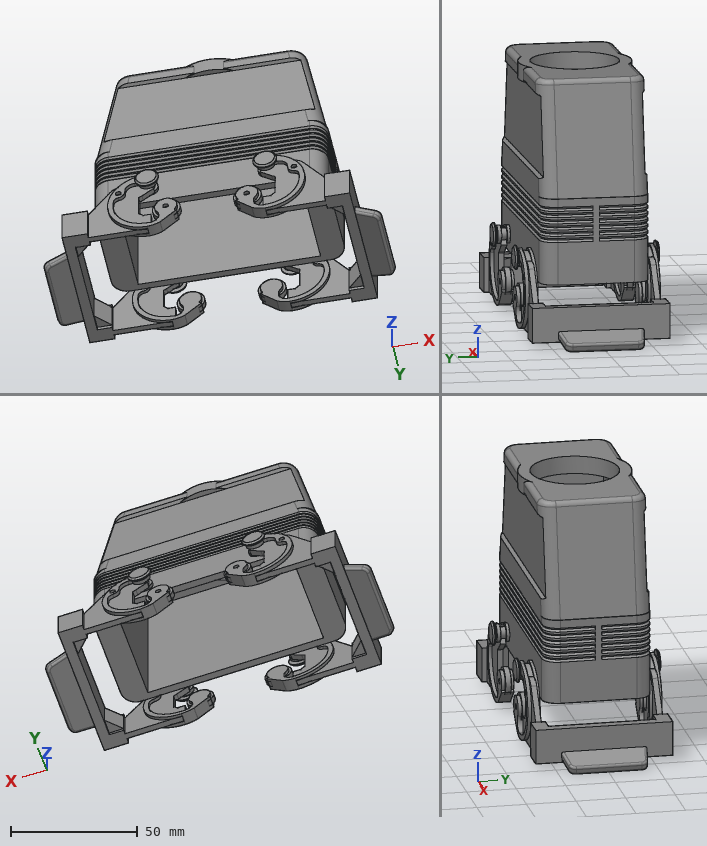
import cadquery as cq
import math

HOOD_HALF_X = 47.0
HOOD_HALF_Y = 21.8
HOOD_HEIGHT = 81.0
CORNER_RADIUS = 6.4
TAPER_START_Z = 34.6
TAPER_LEDGE = 0.4
TOP_HALF_X = 38.2
TOP_FILLET = 2.3
CAVITY_HALF_X = 36.8
CAVITY_HALF_Y = 19.1
ROOF_THICKNESS = 7.2

PANEL_DEPTH = 1.4
PANEL_BOTTOM_Z = 42.8
PANEL_TOP_Z = 74.3
PANEL_BOTTOM_BEVEL = 1.1
PANEL_TOP_BEVEL = 0.7

ENTRY_RADIUS = 17.7
COLLAR_RADIUS = 22.6

GROOVE_COUNT = 6
LOWEST_GROOVE_Z = 18.0
HIGHEST_GROOVE_Z = 30.5
GROOVE_PITCH = (HIGHEST_GROOVE_Z - LOWEST_GROOVE_Z) / (GROOVE_COUNT - 1)
GROOVE_WIDTH = 1.6
GROOVE_DEPTH = 0.8
GROOVE_GAP_Y = 2.6

BAR_OUTER_X = -58.0
BAR_INNER_X = -53.8
BAR_ARM_X = -47.8
BAR_HALF_Y = 27.7
BAR_ARM_INNER_Y = 21.7
BAR_TOP_Z = -6.8
BAR_BOTTOM_Z = -20.9
GUSSET_INSET_Z = 1.5

PLATE_INNER_Y = 23.3
PLATE_OUTER_Y = 25.6
RIB_INNER_Y = 22.1
RIB_OUTER_Y = 27.1
HOOK_X, HOOK_Z = -23.9, -5.3
HOOK_RADIUS = 16.0
RIB_INNER_RADIUS = 13.8
HOOK_PLATE_RADIUS = 15.3
EYE_X, EYE_Z = -16.4, -10.4
EYE_PLATE_RADIUS = 5.6
EYE_RIB_RADIUS = 4.5
RIVET_X, RIVET_Z = -35.5, 1.6
RIVET_LAND_TOP_Z = 6.3
RIVET_LAND_END_ANGLE = 173
OPENING_BACK_X = -27.5
OPENING_LIP_X = -22.6
OPENING_FLOOR_Z = -12.4
OPENING_CHAMFER = 1.8
DIMPLE_RADIUS = 1.1
DIMPLE_DEPTH = 1.4

PIN_X, PIN_Z = -23.9, 7.2
PIN_BOSS_RADIUS = 3.7
PIN_STEM_RADIUS = 2.5
PIN_HEAD_RADIUS = 4.8
PIN_HEAD_INNER_Y = 28.0
PIN_END_Y = 29.0
PIN_HEAD_CHAMFER = 0.7
PIN_ROOT_Y = 20.5

TAB_TILT = 18.5
TAB_THICKNESS = 3.7
TAB_LENGTH = 10.9
TAB_ROOT_OVERLAP = 2.0
TAB_ROOT_HALF_Y = 17.3
TAB_TIP_HALF_Y = 15.5
TAB_ROOT_TOP_Z = -16.5
TAB_CORNER_RADIUS = 2.7
TAB_EDGE_FILLET = 1.0


def z_box(half_x, half_y, bottom, top):
    """Box centred on the Z axis between two heights."""
    return (
        cq.Workplane("XY").workplane(offset=bottom)
        .rect(2 * half_x, 2 * half_y).extrude(top - bottom)
    )


def z_disc(radius, bottom, top):
    """Cylinder on the Z axis between two heights."""
    return cq.Workplane("XY").workplane(offset=bottom).circle(radius).extrude(top - bottom)


def layer(inner_y, outer_y, draw):
    """Slab on the -Y side, from outer_y in to inner_y, with the outline that draw() puts on it."""
    sketch = cq.Workplane("XZ").workplane(offset=inner_y)
    return draw(sketch).extrude(outer_y - inner_y)


def y_disc(x, z, radius, inner_y, outer_y):
    """Cylinder along Y on the -Y side."""
    return layer(inner_y, outer_y, lambda sketch: sketch.center(x, z).circle(radius))


def hood_shell():
    """Straight lower half and tapered upper half, rounded corners and top rim."""
    lower = z_box(HOOD_HALF_X, HOOD_HALF_Y, 0, TAPER_START_Z).edges("|Z").fillet(CORNER_RADIUS)
    base_half_x = HOOD_HALF_X - TAPER_LEDGE
    upper = (
        cq.Workplane("XZ").workplane(offset=-HOOD_HALF_Y)
        .polyline([
            (-base_half_x, TAPER_START_Z),
            (base_half_x, TAPER_START_Z),
            (TOP_HALF_X, HOOD_HEIGHT),
            (-TOP_HALF_X, HOOD_HEIGHT),
        ]).close().extrude(2 * HOOD_HALF_Y)
    )
    upper = upper.edges("not(#Z or |Y)").fillet(CORNER_RADIUS)
    upper = upper.faces(">Z").edges().fillet(TOP_FILLET)
    return lower.union(upper)


def panel_recess():
    """Full-width cut that sets the -Y panel back, with sloped upper and lower ledges."""
    return (
        cq.Workplane("YZ").workplane(offset=-HOOD_HALF_X)
        .polyline([
            (-HOOD_HALF_Y, PANEL_BOTTOM_Z - PANEL_BOTTOM_BEVEL),
            (-HOOD_HALF_Y + PANEL_DEPTH, PANEL_BOTTOM_Z),
            (-HOOD_HALF_Y + PANEL_DEPTH, PANEL_TOP_Z),
            (-HOOD_HALF_Y, PANEL_TOP_Z + PANEL_TOP_BEVEL),
        ]).close().extrude(2 * HOOD_HALF_X)
    )


def groove(root_z):
    """One V groove around the hood, interrupted in the middle of both end faces."""
    half_width = GROOVE_WIDTH / 2
    root_outline = (
        cq.Sketch()
        .rect(2 * (HOOD_HALF_X - GROOVE_DEPTH), 2 * (HOOD_HALF_Y - GROOVE_DEPTH))
        .vertices().fillet(CORNER_RADIUS - GROOVE_DEPTH)
    )
    flank_angle = math.degrees(math.atan2(GROOVE_DEPTH, half_width))
    upper_core = cq.Workplane("XY").placeSketch(root_outline).extrude(half_width, taper=-flank_angle)
    core = upper_core.union(upper_core.mirror("XY"))
    gap = z_box(HOOD_HALF_X, GROOVE_GAP_Y / 2, -half_width, half_width)
    band = z_box(HOOD_HALF_X, HOOD_HALF_Y, -half_width, half_width)
    return band.cut(core).cut(gap).translate((0, 0, root_z))


def make_hood():
    hood = hood_shell()
    recess = panel_recess()
    hood = hood.cut(recess).cut(recess.mirror("XZ"))
    for index in range(GROOVE_COUNT):
        hood = hood.cut(groove(LOWEST_GROOVE_Z + index * GROOVE_PITCH))
    hood = hood.union(z_disc(COLLAR_RADIUS, PANEL_TOP_Z, HOOD_HEIGHT))
    hood = hood.cut(z_box(CAVITY_HALF_X, CAVITY_HALF_Y, 0, HOOD_HEIGHT - ROOF_THICKNESS))
    return hood.cut(z_disc(ENTRY_RADIUS, 0, HOOD_HEIGHT))


def hook_point(radius, angle):
    """Point at a radius and angle (degrees) around the hook centre."""
    turn = math.radians(angle)
    return (HOOK_X + radius * math.cos(turn), HOOK_Z + radius * math.sin(turn))


def hook_band(outer_radius):
    """Outline maker for the curved back of the hook, from above the pivot to its lowest point."""
    def draw(sketch):
        return (
            sketch.moveTo(*hook_point(outer_radius, 90))
            .threePointArc(hook_point(outer_radius, 180), hook_point(outer_radius, 270))
            .lineTo(*hook_point(RIB_INNER_RADIUS, 270))
            .threePointArc(hook_point(RIB_INNER_RADIUS, 180), hook_point(RIB_INNER_RADIUS, 90))
            .close()
        )
    return draw


def draw_rivet_land(sketch):
    """Widened top of the hook rib, with a lobe around the rivet dimple."""
    return (
        sketch.moveTo(*hook_point(RIB_INNER_RADIUS, RIVET_LAND_END_ANGLE))
        .threePointArc((-37.0, -1.9), (-35.5, -1.0))
        .threePointArc((-33.7, -0.1), (-32.8, 1.6))
        .lineTo(-32.7, 3.4)
        .threePointArc((-31.3, 5.5), (-29.0, RIVET_LAND_TOP_Z))
        .lineTo(PIN_X, RIVET_LAND_TOP_Z)
        .lineTo(*hook_point(HOOK_RADIUS, 90))
        .threePointArc(hook_point(HOOK_RADIUS, 130), hook_point(HOOK_RADIUS, RIVET_LAND_END_ANGLE))
        .close()
    )


def draw_neck(sketch):
    """Neck that joins the lowest point of the hook to the eye."""
    return (
        sketch.moveTo(*hook_point(HOOK_RADIUS, 270))
        .threePointArc((-21.1, -20.9), (-18.5, -19.8))
        .lineTo(-11.9, -13.8)
        .lineTo(EYE_X, EYE_Z)
        .lineTo(-19.8, -13.2)
        .threePointArc((-19.4, -16.6), hook_point(RIB_INNER_RADIUS, 270))
        .close()
    )


def draw_side_plate(sketch):
    """Side plate from the bar to the pivot, with the stepped opening beside the hook."""
    return (
        sketch.moveTo(BAR_ARM_X, BAR_BOTTOM_Z)
        .lineTo(BAR_ARM_X, BAR_TOP_Z)
        .lineTo(-38.7, 5.2)
        .threePointArc((-36.7, 6.7), (-33.7, 7.2))
        .lineTo(PIN_X, PIN_Z)
        .lineTo(-21.4, 3.3)
        .lineTo(-26.2, -0.3)
        .lineTo(OPENING_BACK_X, -1.1)
        .lineTo(OPENING_BACK_X, OPENING_FLOOR_Z + OPENING_CHAMFER)
        .lineTo(OPENING_BACK_X + OPENING_CHAMFER, OPENING_FLOOR_Z)
        .lineTo(OPENING_LIP_X, OPENING_FLOOR_Z)
        .lineTo(OPENING_LIP_X, BAR_BOTTOM_Z)
        .close()
    )


def hook_side():
    """Side plate, hook rib, eye and pivot pin on the -Y side."""
    side = y_disc(EYE_X, EYE_Z, EYE_PLATE_RADIUS, PLATE_INNER_Y, PLATE_OUTER_Y)
    for outline in (draw_side_plate, hook_band(HOOK_PLATE_RADIUS), draw_neck):
        side = side.union(layer(PLATE_INNER_Y, PLATE_OUTER_Y, outline))

    for inner_y, outer_y in ((RIB_INNER_Y, PLATE_INNER_Y), (PLATE_OUTER_Y, RIB_OUTER_Y)):
        for outline in (hook_band(HOOK_RADIUS), draw_rivet_land, draw_neck):
            side = side.union(layer(inner_y, outer_y, outline))
        side = side.union(y_disc(EYE_X, EYE_Z, EYE_RIB_RADIUS, inner_y, outer_y))
        side = side.union(y_disc(PIN_X, PIN_Z, PIN_BOSS_RADIUS, inner_y, outer_y))

    for x, z in ((EYE_X, EYE_Z), (RIVET_X, RIVET_Z)):
        side = side.cut(y_disc(x, z, DIMPLE_RADIUS, RIB_OUTER_Y - DIMPLE_DEPTH, RIB_OUTER_Y))

    stem = y_disc(PIN_X, PIN_Z, PIN_STEM_RADIUS, PIN_ROOT_Y, PIN_HEAD_INNER_Y)
    head = y_disc(PIN_X, PIN_Z, PIN_HEAD_RADIUS, PIN_HEAD_INNER_Y, PIN_END_Y)
    head = head.faces("<Y").chamfer(PIN_HEAD_CHAMFER)
    return side.union(stem).union(head)


def lever_bar():
    """U-shaped cross bar with a gusset in each inner corner."""
    bar = (
        cq.Workplane("XY").workplane(offset=BAR_BOTTOM_Z)
        .polyline([
            (BAR_OUTER_X, -BAR_HALF_Y),
            (BAR_ARM_X, -BAR_HALF_Y),
            (BAR_ARM_X, -BAR_ARM_INNER_Y),
            (BAR_INNER_X, -BAR_ARM_INNER_Y),
            (BAR_INNER_X, BAR_ARM_INNER_Y),
            (BAR_ARM_X, BAR_ARM_INNER_Y),
            (BAR_ARM_X, BAR_HALF_Y),
            (BAR_OUTER_X, BAR_HALF_Y),
        ]).close().extrude(BAR_TOP_Z - BAR_BOTTOM_Z)
    )
    gusset_height = BAR_TOP_Z - BAR_BOTTOM_Z - 2 * GUSSET_INSET_Z
    gusset_leg = BAR_ARM_X - BAR_INNER_X
    gusset = (
        cq.Workplane("XY").workplane(offset=BAR_BOTTOM_Z + GUSSET_INSET_Z)
        .polyline([
            (BAR_INNER_X, -BAR_ARM_INNER_Y),
            (BAR_ARM_X, -BAR_ARM_INNER_Y),
            (BAR_INNER_X, -BAR_ARM_INNER_Y + gusset_leg),
        ]).close().extrude(gusset_height)
    )
    return bar.union(gusset).union(gusset.mirror("XZ"))


def finger_tab():
    """Tapered tab that slopes down and outwards from the bar, with softened edges."""
    tab = (
        cq.Workplane("XY")
        .polyline([
            (TAB_ROOT_OVERLAP, -TAB_ROOT_HALF_Y),
            (TAB_ROOT_OVERLAP, TAB_ROOT_HALF_Y),
            (0, TAB_ROOT_HALF_Y),
            (-TAB_LENGTH, TAB_TIP_HALF_Y),
            (-TAB_LENGTH, -TAB_TIP_HALF_Y),
            (0, -TAB_ROOT_HALF_Y),
        ]).close().extrude(-TAB_THICKNESS)
    )
    tab = tab.edges("|Z and <X").fillet(TAB_CORNER_RADIUS)
    tab = tab.faces(">Z or <Z").edges("not >X").fillet(TAB_EDGE_FILLET)
    tab = tab.rotate((0, 0, 0), (0, 1, 0), -TAB_TILT)
    return tab.translate((BAR_OUTER_X, 0, TAB_ROOT_TOP_Z))


def make_lever():
    side = hook_side()
    return lever_bar().union(finger_tab()).union(side).union(side.mirror("XZ"))


lever = make_lever()
result = make_hood().union(lever).union(lever.mirror("YZ"))